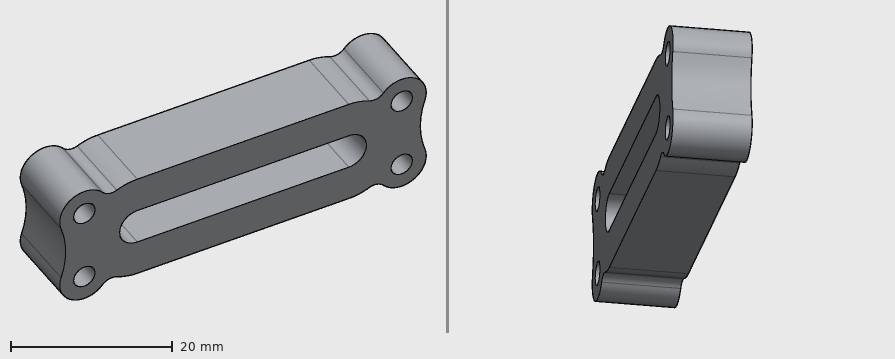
import cadquery as cq
import math

thickness = 10.0
length = 52.0
height = 17.0

lug_radius = 3.5
hole_diameter = 3.0
lug_y = length / 2 - lug_radius
lug_z = height / 2 - lug_radius

bar_height = 15.0
shoulder_radius = bar_height / 2
slot_width = 5.0
slot_length = 35.0
slot_end_y = (slot_length - slot_width) / 2

neck_radius = 1.75
end_hollow_radius = 12.0


def point_toward(center, target, distance):
    """Point at the given distance from center, in the direction of target."""
    angle = math.atan2(target[1] - center[1], target[0] - center[0])
    return (center[0] + distance * math.cos(angle), center[1] + distance * math.sin(angle))


def arc_middle(center, start, end, radius):
    """Middle of the shorter arc from start to end."""
    chord_middle = ((start[0] + end[0]) / 2, (start[1] + end[1]) / 2)
    return point_toward(center, chord_middle, radius)


def neck_center(shoulder, lug):
    """Center of the upper neck arc, tangent externally to the shoulder and the lug."""
    to_shoulder = shoulder_radius + neck_radius
    to_lug = lug_radius + neck_radius
    span = math.dist(shoulder, lug)
    along = (span**2 + to_shoulder**2 - to_lug**2) / (2 * span)
    angle = math.atan2(lug[1] - shoulder[1], lug[0] - shoulder[0]) + math.acos(along / to_shoulder)
    return (shoulder[0] + to_shoulder * math.cos(angle), shoulder[1] + to_shoulder * math.sin(angle))


def quarter_plate():
    """Quarter of the plate on the +Y, +Z side."""
    shoulder = (slot_end_y, 0)
    lug = (lug_y, lug_z)
    neck = neck_center(shoulder, lug)
    hollow_y = lug_y + math.sqrt((lug_radius + end_hollow_radius) ** 2 - lug_z**2)
    hollow = (hollow_y, 0)

    shoulder_start = (slot_end_y, shoulder_radius)
    neck_start = point_toward(shoulder, neck, shoulder_radius)
    neck_end = point_toward(lug, neck, lug_radius)
    lug_top = (lug_y, lug_z + lug_radius)
    lug_side = (lug_y + lug_radius, lug_z)
    lug_end = point_toward(lug, hollow, lug_radius)
    end_middle = (hollow_y - end_hollow_radius, 0)

    return (
        cq.Workplane("YZ")
        .lineTo(0, shoulder_radius)
        .lineTo(*shoulder_start)
        .threePointArc(arc_middle(shoulder, shoulder_start, neck_start, shoulder_radius), neck_start)
        .threePointArc(arc_middle(neck, neck_start, neck_end, neck_radius), neck_end)
        .threePointArc(arc_middle(lug, neck_end, lug_top, lug_radius), lug_top)
        .threePointArc(lug_side, lug_end)
        .threePointArc(arc_middle(hollow, lug_end, end_middle, end_hollow_radius), end_middle)
        .close()
        .extrude(thickness / 2, both=True)
    )


quarter = quarter_plate()
half = quarter.union(quarter.mirror("XZ"))
plate = half.union(half.mirror("XY")).clean()

holes = (
    cq.Workplane("YZ")
    .rect(2 * lug_y, 2 * lug_z, forConstruction=True)
    .vertices()
    .circle(hole_diameter / 2)
    .extrude(thickness, both=True)
)

slot = cq.Workplane("YZ").slot2D(slot_length, slot_width).extrude(thickness, both=True)

result = plate.cut(holes).cut(slot)